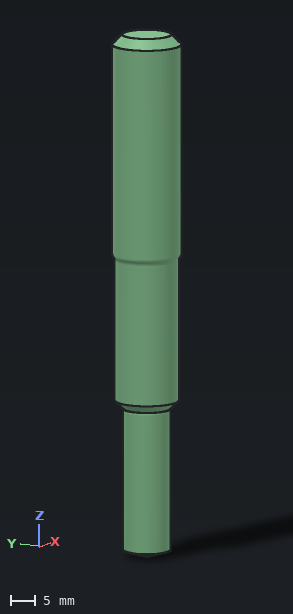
import cadquery as cq
import math

overall_length = 107.0

head_radius = 14.0 / 2
body_radius = 13.1 / 2
shank_bottom_z = 30.4
top_chamfer = 2.0
lower_chamfer = 1.7
blend_center_z = 61.4
blend_radius = 1.0

pin_radius = 4.8
point_height = 1.5
pin_bevel_height = 0.5
pin_bevel_width = 0.1

half_step = (head_radius - body_radius) / 2
half_blend_height = math.sqrt(2 * blend_radius * half_step - half_step**2)
half_arc_angle = math.acos(1 - half_step / blend_radius) / 2
arc_mid_inset = blend_radius * (1 - math.cos(half_arc_angle))
arc_mid_drop = blend_radius * math.sin(half_arc_angle)
blend_top_z = blend_center_z + half_blend_height
blend_bottom_z = blend_center_z - half_blend_height


def make_shank():
    """Revolve the head, the blended step and the chamfered lower body."""
    profile = (
        cq.Workplane("XZ")
        .moveTo(0, overall_length)
        .lineTo(head_radius - top_chamfer, overall_length)
        .lineTo(head_radius, overall_length - top_chamfer)
        .lineTo(head_radius, blend_top_z)
        .threePointArc(
            (head_radius - arc_mid_inset, blend_top_z - arc_mid_drop),
            (head_radius - half_step, blend_center_z),
        )
        .threePointArc(
            (body_radius + arc_mid_inset, blend_bottom_z + arc_mid_drop),
            (body_radius, blend_bottom_z),
        )
        .lineTo(body_radius, shank_bottom_z + lower_chamfer)
        .lineTo(body_radius - lower_chamfer, shank_bottom_z)
        .lineTo(0, shank_bottom_z)
        .close()
    )
    return profile.revolve(360, (0, 0), (0, 1))


def make_pin():
    """Revolve the pin: bevelled top against the shank, conical point at the bottom."""
    profile = (
        cq.Workplane("XZ")
        .moveTo(0, 0)
        .lineTo(pin_radius, point_height)
        .lineTo(pin_radius, shank_bottom_z - pin_bevel_height)
        .lineTo(pin_radius - pin_bevel_width, shank_bottom_z)
        .lineTo(0, shank_bottom_z)
        .close()
    )
    return profile.revolve(360, (0, 0), (0, 1))


shank = make_shank()
pin = make_pin()

result = cq.Compound.makeCompound([shank.val(), pin.val()])